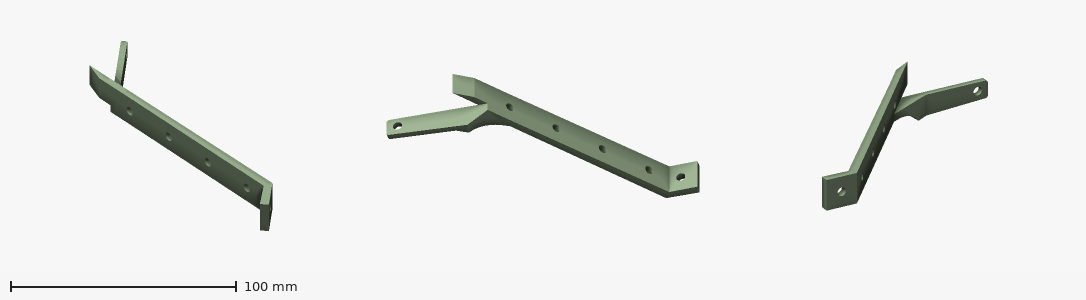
import cadquery as cq
import math

BAR_HEIGHT = 15.0
BAR_TIP_X = 13.1
NOSE_END_X = 22.7
TAPER_START_X = 40.0
BAR_THIN = 3.3
BAR_THICK = 4.2

BEND_OUTER_X = 129.3
BEND_INNER_X = 128.0
TAB_END_X = 139.1
TAB_END_Y = -11.8
TAB_THICKNESS = 4.0
TAB_HOLE_Y = -8.3

HOLE_DIAMETER = 4.2
BAR_HOLE_COUNT = 4
BAR_HOLE_PITCH = 25.0
FIRST_HOLE_X = 42.0
BORE_LENGTH = 27.8

ARM_ANGLE = math.radians(50)
ARM_START_Y = 32.3
ARM_THICKNESS = 2.9
ARM_TOP = 3.9
ARM_BOTTOM = -6.7
ARM_TIP_BOTTOM = -4.7
ARM_TIP_RADIUS = 1.4
ARM_HOLE_DISTANCE = 5.1
ARM_HOLE_Z = -0.4

WEB_START_X = 22.3
WEB_END_X = 44.4
TOP_CREASE_X = 24.6
WEB_END_TOP = 3.5

FRONT_RISE_X = 24.0
BACK_RISE_X = 27.5
BACK_ARC_MID = (33.3, -2.0)
BACK_ARC_END_X = 42.5
RELIEF_END_X = 47.3
RELIEF_FLOOR = -11.1

arm_along = cq.Vector(math.cos(ARM_ANGLE), -math.sin(ARM_ANGLE), 0)
arm_back = cq.Vector(math.sin(ARM_ANGLE), math.cos(ARM_ANGLE), 0)
arm_start = cq.Vector(0, ARM_START_Y, 0)
arm_plane = cq.Plane(origin=arm_start, xDir=arm_along, normal=-arm_back)


def arm_front_y(x):
    return ARM_START_Y - x * math.tan(ARM_ANGLE)


def arm_distance(x):
    return x / math.cos(ARM_ANGLE)


arm_end_x = (ARM_START_Y + BAR_THIN) / math.tan(ARM_ANGLE)
arm_tip_back = arm_start + arm_back * ARM_THICKNESS
web_start_y = (
    arm_tip_back.y - (WEB_START_X - arm_tip_back.x) * math.tan(ARM_ANGLE)
)


def web_back_y(x):
    return web_start_y * (WEB_END_X - x) / (WEB_END_X - WEB_START_X)


def bore(point, direction):
    """Round cutter centred on a point and running both ways."""
    start = point - direction * (BORE_LENGTH / 2)
    return cq.Workplane(
        cq.Solid.makeCylinder(HOLE_DIAMETER / 2, BORE_LENGTH, start, direction)
    )


def make_bar():
    tab_run = cq.Vector(TAB_END_X - BEND_OUTER_X, TAB_END_Y, 0).normalized()
    tab_normal = cq.Vector(-tab_run.y, tab_run.x, 0)
    tab_end_inner = cq.Vector(TAB_END_X, TAB_END_Y, 0) - tab_normal * TAB_THICKNESS
    bar = (
        cq.Workplane("XY")
        .polyline([
            (BAR_TIP_X, 0),
            (NOSE_END_X, -BAR_THIN),
            (TAPER_START_X, -BAR_THIN),
            (BEND_INNER_X, -BAR_THICK),
            (tab_end_inner.x, tab_end_inner.y),
            (TAB_END_X, TAB_END_Y),
            (BEND_OUTER_X, 0),
        ])
        .close()
        .extrude(BAR_HEIGHT)
    )
    for index in range(BAR_HOLE_COUNT):
        hole_x = FIRST_HOLE_X + index * BAR_HOLE_PITCH
        bar = bar.cut(bore(cq.Vector(hole_x, 0, BAR_HEIGHT / 2), cq.Vector(0, 1, 0)))
    inner_run = (TAB_HOLE_Y + BAR_THICK) / (tab_end_inner.y + BAR_THICK)
    tab_hole_x = BEND_INNER_X + inner_run * (tab_end_inner.x - BEND_INNER_X)
    tab_hole = cq.Vector(tab_hole_x, TAB_HOLE_Y, BAR_HEIGHT / 2)
    return bar.cut(bore(tab_hole, tab_normal))


def make_arm_profile():
    """Side outline of the arm, swept across its thickness."""
    profile_end = arm_distance(WEB_END_X)
    profile = (
        cq.Workplane(arm_plane)
        .polyline([
            (0, ARM_TOP),
            (0, ARM_TIP_BOTTOM),
            (arm_distance(FRONT_RISE_X), ARM_BOTTOM),
            (profile_end, ARM_BOTTOM),
            (profile_end, WEB_END_TOP),
            (arm_distance(TOP_CREASE_X), ARM_TOP),
        ])
        .close()
        .extrude(BORE_LENGTH, both=True)
    )
    return (
        profile.faces(cq.selectors.DirectionMinMaxSelector(arm_along, False))
        .edges(cq.selectors.ParallelDirSelector(arm_back))
        .fillet(ARM_TIP_RADIUS)
    )


def make_notch():
    """Space in front of the arm, which removes the lower corner of the bar."""
    return (
        cq.Workplane("XY")
        .polyline([
            (0, ARM_START_Y),
            (arm_end_x, -BAR_THIN),
            (arm_end_x, -2 * BAR_THIN),
            (0, -2 * BAR_THIN),
        ])
        .close()
        .extrude(ARM_TOP)
        .intersect(make_arm_profile())
    )


def relief_wire(rise_x, wall_y, rising_edge, flat_start_x):
    """Closed section of the relief on one upright wall of the arm."""
    def on_wall(x, z):
        return cq.Vector(x, wall_y(x), z)

    corners = [
        on_wall(flat_start_x, 0),
        on_wall(RELIEF_END_X, 0),
        on_wall(RELIEF_END_X, RELIEF_FLOOR),
        on_wall(rise_x, RELIEF_FLOOR),
        on_wall(rise_x, ARM_BOTTOM),
    ]
    sides = [cq.Edge.makeLine(a, b) for a, b in zip(corners, corners[1:])]
    return cq.Wire.assembleEdges([rising_edge] + sides)


def make_relief():
    """Cutter that slopes the underside of the web up to the bar."""
    front_edge = cq.Edge.makeLine(
        cq.Vector(FRONT_RISE_X, arm_front_y(FRONT_RISE_X), ARM_BOTTOM),
        cq.Vector(arm_end_x, -BAR_THIN, 0),
    )
    mid_x, mid_z = BACK_ARC_MID
    back_edge = cq.Edge.makeThreePointArc(
        cq.Vector(BACK_RISE_X, web_back_y(BACK_RISE_X), ARM_BOTTOM),
        cq.Vector(mid_x, web_back_y(mid_x), mid_z),
        cq.Vector(BACK_ARC_END_X, web_back_y(BACK_ARC_END_X), 0),
    )
    front = relief_wire(FRONT_RISE_X, arm_front_y, front_edge, arm_end_x)
    back = relief_wire(BACK_RISE_X, web_back_y, back_edge, BACK_ARC_END_X)
    return cq.Workplane(cq.Solid.makeLoft([front, back], True))


def make_arm():
    footprint = (
        cq.Workplane("XY", origin=(0, 0, ARM_BOTTOM))
        .polyline([
            (0, ARM_START_Y),
            (arm_tip_back.x, arm_tip_back.y),
            (WEB_START_X, web_start_y),
            (WEB_END_X, 0),
            (arm_end_x, -BAR_THIN),
        ])
        .close()
        .extrude(ARM_TOP - ARM_BOTTOM)
    )
    hole = arm_start + arm_along * ARM_HOLE_DISTANCE + cq.Vector(0, 0, ARM_HOLE_Z)
    return footprint.intersect(make_arm_profile()).cut(make_relief()).cut(bore(hole, arm_back))


result = make_bar().cut(make_notch()).union(make_arm())